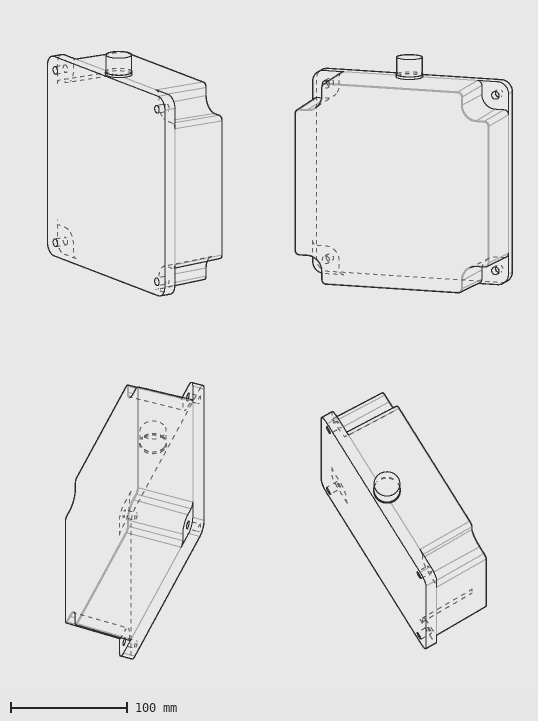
import cadquery as cq
import math

plate_side = 177.0
plate_thickness = 10.5
plate_corner_radius = 10.0
hole_inset = 12.0
hole_diameter = 6.5

total_depth = 60.5
housing_depth = total_depth - plate_thickness
draft_angle = 1.0
notch_radius = 12.0
housing_edge_radius = 4.0
back_edge_radius = 0.8

total_height = 194.0
gland_diameter = 22.1
collar_diameter = 22.9
collar_height = 2.0
gland_y = 13.2
gland_root_depth = 2.0

half_side = plate_side / 2
hole_offset = half_side - hole_inset


def make_plate():
    plate = cq.Workplane("XZ").rect(plate_side, plate_side).extrude(-plate_thickness)
    return plate.edges("|Y").fillet(plate_corner_radius)


def housing_section(wall_inset):
    """Closed notched outline, its walls moved inward by wall_inset."""
    outer = half_side - wall_inset
    arc_radius = notch_radius + wall_inset
    wall = hole_offset - arc_radius
    arc_middle = hole_offset - arc_radius * math.sqrt(0.5)

    def place(along, across, quarter):
        for _ in range(quarter):
            along, across = -across, along
        return along, across

    outline = cq.Workplane("XZ").moveTo(outer, -wall)
    for quarter in range(4):
        outline = (
            outline.lineTo(*place(outer, wall, quarter))
            .lineTo(*place(hole_offset, wall, quarter))
            .threePointArc(
                place(arc_middle, arc_middle, quarter),
                place(wall, hole_offset, quarter),
            )
            .lineTo(*place(wall, outer, quarter))
        )
    return outline.close().wires().val()


def make_housing():
    back_inset = housing_depth * math.tan(math.radians(draft_angle))
    front = housing_section(0).translate(cq.Vector(0, plate_thickness, 0))
    back = housing_section(back_inset).translate(cq.Vector(0, total_depth, 0))
    housing = cq.Workplane(cq.Solid.makeLoft([front, back], True))

    corner_reach = math.hypot(half_side, hole_offset - notch_radius) - 2 * back_inset

    def is_outer_corner(edge):
        middle = edge.Center()
        runs_back = edge.BoundingBox().ylen > housing_depth / 2
        return runs_back and math.hypot(middle.x, middle.z) > corner_reach

    corners = [edge for edge in housing.edges().vals() if is_outer_corner(edge)]
    housing = housing.newObject(corners).fillet(housing_edge_radius)
    return housing.faces(">Y").edges().fillet(back_edge_radius)


def make_gland():
    base = cq.Workplane("XY", origin=(0, gland_y, half_side - gland_root_depth))
    collar = base.circle(collar_diameter / 2).extrude(gland_root_depth + collar_height)
    stem_length = total_height - plate_side + gland_root_depth
    return collar.union(base.circle(gland_diameter / 2).extrude(stem_length))


def make_screw_holes():
    return (
        cq.Workplane("XZ")
        .rect(2 * hole_offset, 2 * hole_offset, forConstruction=True)
        .vertices()
        .circle(hole_diameter / 2)
        .extrude(-plate_thickness)
    )


result = make_plate().union(make_housing()).cut(make_screw_holes()).union(make_gland())